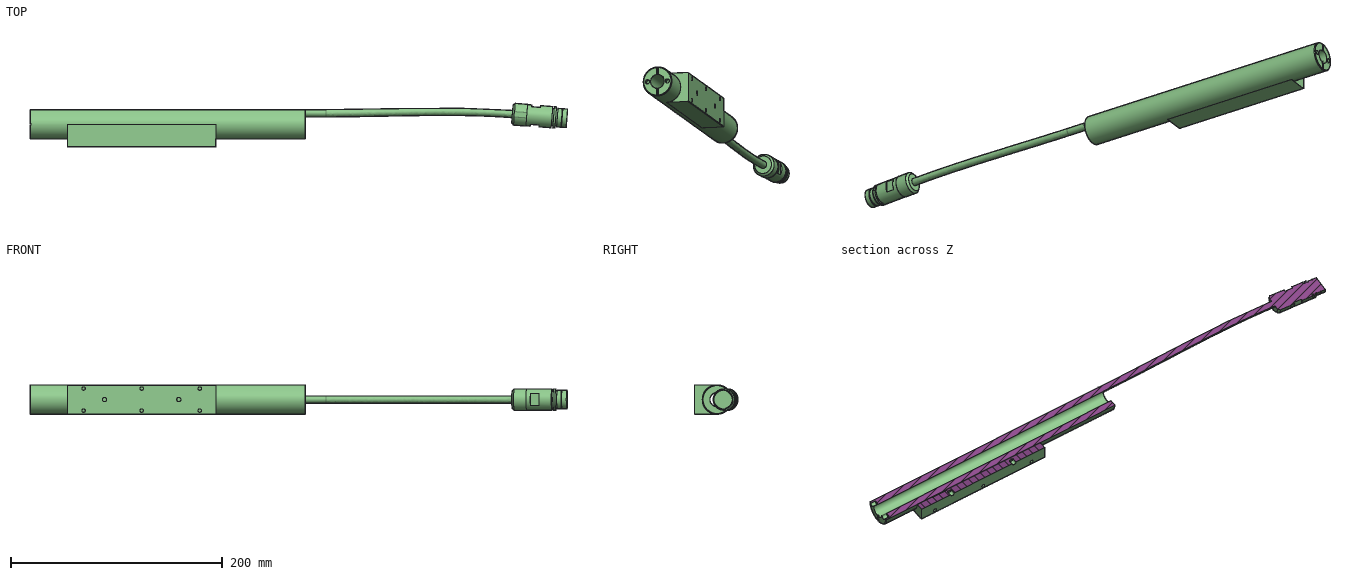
import cadquery as cq
import math

TUBE_LENGTH = 260.5
TUBE_DIAMETER = 28.0
BORE_DIAMETER = 13.0
FACE_HOLE_DIAMETER = 4.0
FACE_HOLE_OFFSET = 9.5
FACE_HOLE_DEPTH = 5.0
FACE_SLOT_WIDTH = 1.5
FACE_SLOT_DEPTH = 1.0
TUBE_CHAMFER = 0.75

BLOCK_START = 35.5
BLOCK_LENGTH = 140.0
BLOCK_HEIGHT = TUBE_DIAMETER
BLOCK_DEPTH = 21.5
BLOCK_CHAMFER = 0.5
EDGE_HOLE_DIAMETER = 3.3
EDGE_HOLE_DEPTH = 9.0
EDGE_HOLE_SPACING_X = 55.0
EDGE_HOLE_SPACING_Z = 21.0
CENTRE_HOLE_DIAMETER = 4.0
CENTRE_HOLE_DEPTH = 5.0
CENTRE_HOLE_SPACING = 70.0

CABLE_DIAMETER = 7.0
CABLE_STRAIGHT_LENGTH = 19.5
CABLE_Y = (TUBE_DIAMETER - CABLE_DIAMETER) / 2

OVERALL_LENGTH = 507.5
PLUG_TILT = 4.5
PLUG_Y = 9.5
PLUG_LENGTH = 52.0
COLLAR_DIAMETER = 21.0
COLLAR_LENGTH = 13.5
COLLAR_CHAMFER = 2.0
KEY_FLAT_WIDTH = 5.0
BODY_DIAMETER = 20.5
BODY_END = 37.5
WRENCH_FLAT_START = 18.0
WRENCH_FLAT_LENGTH = 8.0
WRENCH_FLAT_WIDTH = 11.0
RING_START = 39.0
RING_END = 41.0
NECK_DIAMETER = 16.0
FLANGE_DIAMETER = 18.0
FLANGE_START = 42.5
FLANGE_END = 46.5
TIP_START = 47.0

TILT = math.radians(PLUG_TILT)
PLUG_X = OVERALL_LENGTH - PLUG_LENGTH * math.cos(TILT) - FLANGE_DIAMETER / 2 * math.sin(TILT)


def rod(diameter, start, end):
    """Cylinder along the X axis from start to end."""
    return cq.Workplane("YZ", origin=(start, 0, 0)).circle(diameter / 2).extrude(end - start)


def chord_distance(diameter, width):
    """Distance from a circle's centre to a chord of the given width."""
    return math.sqrt((diameter / 2) ** 2 - (width / 2) ** 2)


def make_tube():
    """Bored tube with chamfered ends, and two holes and a shallow slot in its -X face."""
    tube = rod(TUBE_DIAMETER, 0, TUBE_LENGTH).faces("<X or >X").chamfer(TUBE_CHAMFER)
    bore = rod(BORE_DIAMETER, 0, TUBE_LENGTH)
    holes = (
        cq.Workplane("YZ")
        .pushPoints([(-FACE_HOLE_OFFSET, 0), (FACE_HOLE_OFFSET, 0)])
        .circle(FACE_HOLE_DIAMETER / 2)
        .extrude(FACE_HOLE_DEPTH)
    )
    slot = cq.Workplane("XY").box(
        FACE_SLOT_DEPTH, FACE_SLOT_WIDTH, TUBE_DIAMETER, centered=(False, True, True)
    )
    return tube.cut(bore).cut(holes).cut(slot)


def make_cable():
    """Straight length out of the tube, then a gentle bend into the plug axis."""
    bend_start = TUBE_LENGTH + CABLE_STRAIGHT_LENGTH
    straight = rod(CABLE_DIAMETER, TUBE_LENGTH, bend_start).translate((0, CABLE_Y, 0))
    bend_path = cq.Workplane("XY").spline(
        [(bend_start, CABLE_Y), (PLUG_X, PLUG_Y)],
        tangents=[(1, 0), (math.cos(TILT), -math.sin(TILT))],
    )
    section = cq.Workplane("YZ", origin=(bend_start, CABLE_Y, 0)).circle(CABLE_DIAMETER / 2)
    return straight.union(section.sweep(bend_path))


def make_key_flat_cutter():
    """Removes a narrow flat from the top of the collar."""
    bottom = chord_distance(COLLAR_DIAMETER, KEY_FLAT_WIDTH)
    return cq.Workplane("XY", origin=(0, 0, bottom)).box(
        COLLAR_LENGTH, COLLAR_DIAMETER, COLLAR_DIAMETER, centered=(False, True, False)
    )


def make_wrench_flat_cutter():
    """Removes a wrench flat from the +Y side of the plug body."""
    inner_side = chord_distance(BODY_DIAMETER, WRENCH_FLAT_WIDTH)
    return cq.Workplane("XY", origin=(WRENCH_FLAT_START, inner_side, 0)).box(
        WRENCH_FLAT_LENGTH, BODY_DIAMETER, BODY_DIAMETER, centered=(False, False, True)
    )


def make_plug():
    """Stepped round plug, built along X and then tilted into place."""
    plug = rod(COLLAR_DIAMETER, 0, COLLAR_LENGTH).faces("<X").chamfer(COLLAR_CHAMFER)
    steps = [
        (BODY_DIAMETER, COLLAR_LENGTH, BODY_END),
        (NECK_DIAMETER, BODY_END, PLUG_LENGTH),
        (BODY_DIAMETER, RING_START, RING_END),
        (FLANGE_DIAMETER, FLANGE_START, FLANGE_END),
        (FLANGE_DIAMETER, TIP_START, PLUG_LENGTH),
    ]
    for diameter, start, end in steps:
        plug = plug.union(rod(diameter, start, end))

    wrench_flat = make_wrench_flat_cutter()
    plug = plug.cut(wrench_flat).cut(wrench_flat.mirror("XZ")).cut(make_key_flat_cutter())
    return plug.rotate((0, 0, 0), (0, 0, 1), -PLUG_TILT).translate((PLUG_X, PLUG_Y, 0))


def make_sensor():
    """Tube, cable and plug as one solid."""
    return make_tube().union(make_cable()).union(make_plug())


def make_block():
    """Cradle block with chamfered long front edges and blind holes in its -Y face."""
    block = (
        cq.Workplane("XY", origin=(BLOCK_START, -BLOCK_DEPTH, 0))
        .box(BLOCK_LENGTH, BLOCK_DEPTH, BLOCK_HEIGHT, centered=(False, False, True))
        .faces("<Y")
        .edges("|X")
        .chamfer(BLOCK_CHAMFER)
    )
    block = block.cut(rod(TUBE_DIAMETER, 0, TUBE_LENGTH))
    front = cq.Workplane("XZ", origin=(BLOCK_START + BLOCK_LENGTH / 2, -BLOCK_DEPTH, 0))
    edge_holes = (
        front.rarray(EDGE_HOLE_SPACING_X, EDGE_HOLE_SPACING_Z, 3, 2)
        .circle(EDGE_HOLE_DIAMETER / 2)
        .extrude(-EDGE_HOLE_DEPTH)
    )
    centre_holes = (
        front.rarray(CENTRE_HOLE_SPACING, 5, 2, 1)
        .circle(CENTRE_HOLE_DIAMETER / 2)
        .extrude(-CENTRE_HOLE_DEPTH)
    )
    return block.cut(edge_holes).cut(centre_holes)


sensor = make_sensor()
block = make_block()
result = cq.Compound.makeCompound([sensor.val(), block.val()])